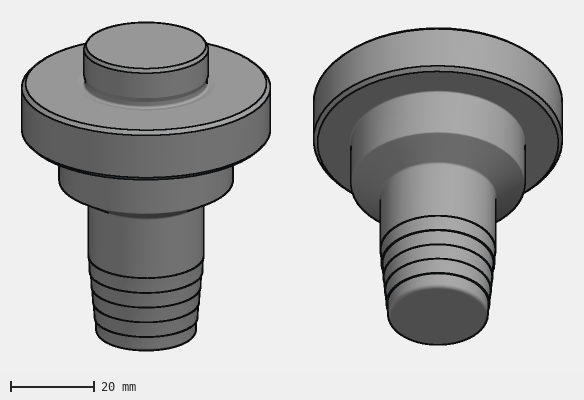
import cadquery as cq
import math

total_height = 75.0
knob_height = 10.0
flange_thickness = 13.0
collar_height = 12.3
tail_height = 20.0
flange_top = total_height - knob_height
flange_bottom = flange_top - flange_thickness
collar_bottom = flange_bottom - collar_height

flange_radius = 30.0
collar_radius = 21.0
shank_radius = 13.95
knob_radius = 15.0

flange_chamfer = 1.0
knob_chamfer_height = 1.0
knob_chamfer_width = knob_chamfer_height * math.tan(math.radians(30))
collar_fillet = 0.4
shank_fillet = 0.7
tail_end_fillet = 1.0

knob_land_bottom = 67.5
neck_depth = 0.3
neck_taper = math.radians(15)
neck_blend = 0.6
neck_radius = knob_radius - neck_depth
neck_top = knob_land_bottom - neck_depth / math.tan(neck_taper)
undercut_outer_radius = 16.7
undercut_face_angle = math.radians(8)
undercut_depth = (undercut_outer_radius - neck_radius) * math.tan(undercut_face_angle)

cone_angle = math.radians(30)
cone_bottom = collar_bottom - (collar_radius - shank_radius) * math.tan(cone_angle)

tail_bands = [
    (12.1, 12.15),
    (12.45, 12.7),
    (12.8, 13.05),
    (13.2, 13.35),
    (13.65, 13.8),
]
band_height = tail_height / len(tail_bands)


def tail_corners():
    """Outline corners of the stepped tail: (radius, height, fillet)."""
    corners = []
    for index, (lower_radius, upper_radius) in enumerate(tail_bands):
        fillet = tail_end_fillet if index == 0 else 0
        corners.append((lower_radius, index * band_height, fillet))
        corners.append((upper_radius, (index + 1) * band_height, 0))
    return corners


def body_corners():
    """Outline corners of the shank, cone, collar and flange."""
    return [
        (shank_radius, tail_height, 0),
        (shank_radius, cone_bottom, shank_fillet),
        (collar_radius, collar_bottom, collar_fillet),
        (collar_radius, flange_bottom, collar_fillet),
        (flange_radius - flange_chamfer, flange_bottom, 0),
        (flange_radius, flange_bottom + flange_chamfer, 0),
        (flange_radius, flange_top - flange_chamfer, 0),
        (flange_radius - flange_chamfer, flange_top, 0),
    ]


def knob_corners():
    """Outline corners of the undercut and the knob."""
    return [
        (undercut_outer_radius, flange_top, 0),
        (neck_radius, flange_top - undercut_depth, neck_blend),
        (neck_radius, neck_top, neck_blend),
        (knob_radius, knob_land_bottom, 0),
        (knob_radius, total_height - knob_chamfer_height, 0),
        (knob_radius - knob_chamfer_width, total_height, 0),
    ]


def rounded_corner(profile, before, corner, after, fillet):
    """Draw up to a corner and round it with an arc tangent to both sides."""
    point = cq.Vector(*corner)
    toward_before = (cq.Vector(*before) - point).normalized()
    toward_after = (cq.Vector(*after) - point).normalized()
    half_angle = toward_before.getAngle(toward_after) / 2
    setback = fillet / math.tan(half_angle)
    bisector = (toward_before + toward_after).normalized()
    start = point + toward_before * setback
    middle = point + bisector * (fillet / math.sin(half_angle) - fillet)
    end = point + toward_after * setback
    profile = profile.lineTo(start.x, start.y)
    return profile.threePointArc((middle.x, middle.y), (end.x, end.y))


def turned_solid(corners):
    """Revolve the outline through the corners about the vertical axis."""
    axis_bottom = (0, 0)
    axis_top = (0, total_height)
    points = [axis_bottom] + [(radius, height) for radius, height, _ in corners] + [axis_top]
    profile = cq.Workplane("XZ").moveTo(*axis_bottom)
    for index, (radius, height, fillet) in enumerate(corners):
        if fillet:
            before, corner, after = points[index:index + 3]
            profile = rounded_corner(profile, before, corner, after, fillet)
        else:
            profile = profile.lineTo(radius, height)
    profile = profile.lineTo(*axis_top).close()
    return profile.revolve(360, axis_bottom, axis_top)


result = turned_solid(tail_corners() + body_corners() + knob_corners())